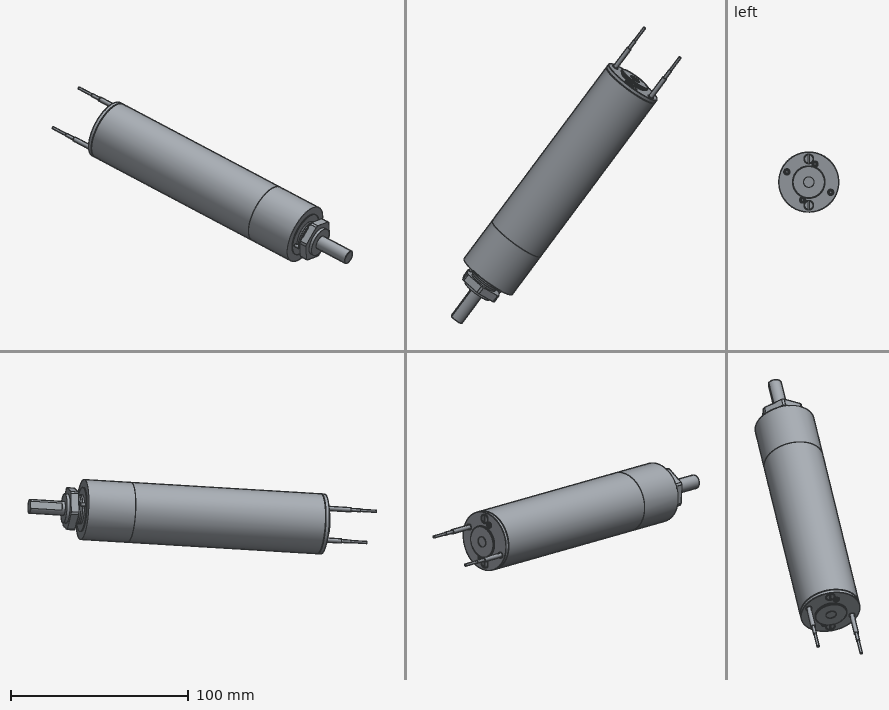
import cadquery as cq
import math

strand_end = 9.3
inner_sleeve_end = 14.8
boss_face = 25.9
boss_rim_end = 27.3
body_start = 28.0
body_end = 167.0
flange_end = 167.5
pin_end = 170.5
nut_start = 171.5
nut_end = 175.9
bushing_end = 177.6
flat_start = 179.5
shaft_end = 197.6

body_diameter = 34.0
cap_length = 2.2
gearbox_joint = 139.9
cap_groove_width = 0.4
joint_groove_width = 0.08
seam_depth = 0.08
rear_edge_chamfer = 0.2

boss_rim_diameter = 18.4
boss_neck_diameter = 16.0
boss_rim_chamfer = 0.4
boss_recess_diameter = 6.0
boss_recess_depth = 0.4

flange_diameter = 25.0
bushing_diameter = 16.5
thread_root_diameter = 16.0
thread_groove_width = 1.0
thread_groove_starts = (168.5, 170.5)
shaft_diameter = 8.0
shaft_flat_depth = 0.5
shaft_tip_chamfer = 0.2

nut_across_flats = 22.0
nut_corner_diameter = 24.5
nut_turn = 3.0

pin_diameter = 2.0
pin_radius = 10.0
pin_tip_chamfer = 0.2

wire_radius = 13.6
wire_angle = 65.0
insulation_diameter = 2.5
inner_sleeve_diameter = 1.8
strand_diameter = 1.4
wire_seat_diameter = 3.5
wire_seat_depth = 0.4
screw_radius = 10.7
screw_angle = -19.0
screw_hole_diameter = 3.5
screw_hole_depth = 0.4
screw_diameter = 2.4
screw_socket_diameter = 1.4
brush_cap_radius = 13.0
brush_cap_hole_diameter = 5.5
brush_cap_diameter = 4.7
brush_cap_gap_depth = 0.8
brush_cap_slot_width = 0.8


def cylinder(start, end, diameter, y=0.0, z=0.0):
    """Cylinder parallel to X between two stations."""
    plane = cq.Workplane("YZ", origin=(start, y, z))
    return plane.circle(diameter / 2).extrude(end - start)


def ring(start, end, outer_diameter, inner_diameter, y=0.0, z=0.0):
    """Tube parallel to X between two stations."""
    return cylinder(start, end, outer_diameter, y, z).cut(cylinder(start, end, inner_diameter, y, z))


def opposite_pair(radius, angle):
    """Two (y, z) places facing each other across the axis."""
    y = radius * math.sin(math.radians(angle))
    z = radius * math.cos(math.radians(angle))
    return ((y, z), (-y, -z))


def make_body():
    body = cylinder(body_start, body_end, body_diameter).faces("<X").chamfer(rear_edge_chamfer)
    seam_floor = body_diameter - 2 * seam_depth
    seams = ((body_start + cap_length, cap_groove_width), (gearbox_joint, joint_groove_width))
    for middle, width in seams:
        body = body.cut(ring(middle - width / 2, middle + width / 2, body_diameter, seam_floor))
    return body.union(cylinder(body_end, flange_end, flange_diameter))


def cut_rear_face(body):
    screw_floor = body_start + screw_hole_depth
    for y, z in opposite_pair(screw_radius, screw_angle):
        body = body.cut(ring(body_start, screw_floor, screw_hole_diameter, screw_diameter, y, z))
        body = body.cut(cylinder(body_start, screw_floor, screw_socket_diameter, y, z))
    for y, z in opposite_pair(wire_radius, wire_angle):
        body = body.cut(cylinder(body_start, body_start + wire_seat_depth, wire_seat_diameter, y, z))
    gap_end = body_start + brush_cap_gap_depth
    for y, z in opposite_pair(brush_cap_radius, 0):
        body = body.cut(ring(body_start, gap_end, brush_cap_hole_diameter, brush_cap_diameter, y, z))
        slot = cq.Workplane("YZ", origin=(body_start, y, z))
        slot = slot.rect(brush_cap_slot_width, brush_cap_diameter).extrude(brush_cap_gap_depth)
        body = body.cut(slot)
    return body


def make_boss():
    rim = cylinder(boss_face, boss_rim_end, boss_rim_diameter).edges().chamfer(boss_rim_chamfer)
    boss = rim.union(cylinder(boss_rim_end, body_start, boss_neck_diameter))
    return boss.cut(cylinder(boss_face, boss_face + boss_recess_depth, boss_recess_diameter))


def make_bushing():
    bushing = cylinder(flange_end, bushing_end, bushing_diameter)
    for start in thread_groove_starts:
        end = start + thread_groove_width
        bushing = bushing.cut(ring(start, end, bushing_diameter, thread_root_diameter))
    return bushing


def make_nut():
    across_corners = nut_across_flats / math.cos(math.pi / 6)
    hexagon = cq.Workplane("YZ", origin=(nut_start, 0, 0)).polygon(6, across_corners)
    nut = hexagon.extrude(nut_end - nut_start)
    nut = nut.rotate((0, 0, 0), (1, 0, 0), 90 + nut_turn)
    return nut.intersect(cylinder(nut_start, nut_end, nut_corner_diameter))


def make_shaft():
    shaft = cylinder(bushing_end, shaft_end, shaft_diameter).faces(">X").chamfer(shaft_tip_chamfer)
    flat_length = shaft_end - flat_start
    flat_cut = cq.Workplane("XY").box(
        flat_length, shaft_diameter, shaft_diameter, centered=(False, False, True)
    )
    flat_y = shaft_diameter / 2 - shaft_flat_depth
    return shaft.cut(flat_cut.translate((flat_start, flat_y, 0)))


def make_pin(y, z):
    return cylinder(flange_end, pin_end, pin_diameter, y, z).faces(">X").chamfer(pin_tip_chamfer)


def make_wire(y, z):
    wire = cylinder(inner_sleeve_end, body_start + wire_seat_depth, insulation_diameter, y, z)
    wire = wire.union(cylinder(strand_end, inner_sleeve_end, inner_sleeve_diameter, y, z))
    return wire.union(cylinder(0, strand_end, strand_diameter, y, z))


result = cut_rear_face(make_body())
for feature in (make_boss(), make_bushing(), make_nut(), make_shaft()):
    result = result.union(feature)
for pin_y, pin_z in opposite_pair(pin_radius, 90):
    result = result.union(make_pin(pin_y, pin_z))
for wire_y, wire_z in opposite_pair(wire_radius, wire_angle):
    result = result.union(make_wire(wire_y, wire_z))